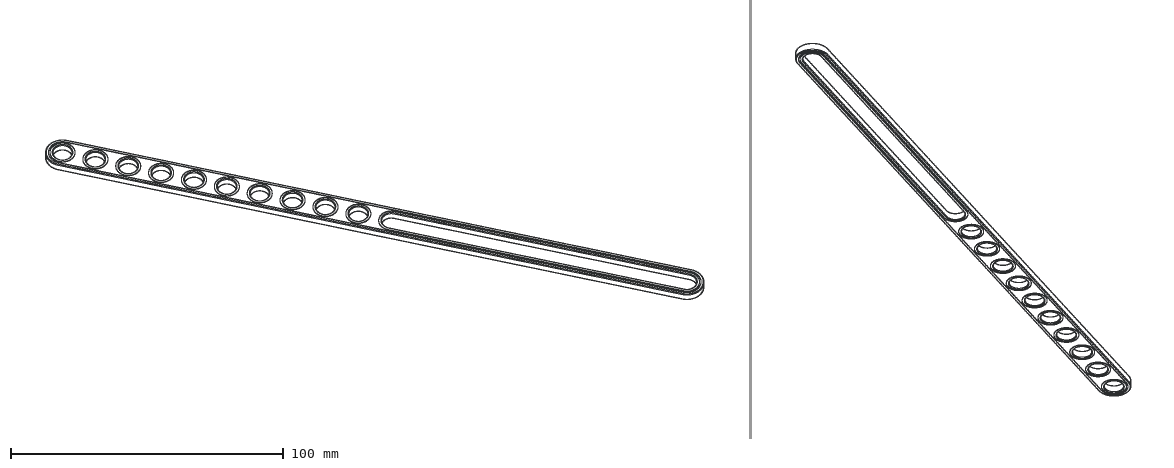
import cadquery as cq

pitch = 12.5
length_in_pitches = 20
hole_count = 10
hole_diameter = 7.0
edge_chamfer = 0.3
rim_land = 0.8
recess_depth = 0.2

width = pitch
length = length_in_pitches * pitch
thickness = pitch / 4
rim_width = edge_chamfer + rim_land
first_hole_x = width / 2
hole_centers = [(first_hole_x + index * pitch, 0) for index in range(hole_count)]
slot_start_x = first_hole_x + hole_count * pitch
slot_end_x = length - width / 2
slot_middle_x = (slot_start_x + slot_end_x) / 2
slot_travel = slot_end_x - slot_start_x


def outline(inset, z=0):
    """Round-ended outline of the bar, moved inward by the inset."""
    plane = cq.Workplane("XY", origin=(length / 2, 0, z))
    return plane.slot2D(length - 2 * inset, width - 2 * inset)


def slot(offset, z=0):
    """Outline of the long slot, widened by the offset."""
    plane = cq.Workplane("XY", origin=(slot_middle_x, 0, z))
    slot_width = hole_diameter + 2 * offset
    return plane.slot2D(slot_travel + slot_width, slot_width)


def hole(offset, z=0):
    """Circle of one hole at the origin, widened by the offset."""
    return cq.Workplane("XY", origin=(0, 0, z)).circle(hole_diameter / 2 + offset)


def mirrored_to_top(feature):
    """Copy of a feature at the lower face, mirrored to the upper face."""
    return feature.mirror("XY").translate((0, 0, thickness))


def bevelled_prism(profile):
    """Full-thickness prism of a profile, bevelled at both faces to the profile offset by the chamfer."""
    core = profile(0, edge_chamfer).extrude(thickness - 2 * edge_chamfer)
    face_wire = profile(edge_chamfer).val()
    bevel_wire = profile(0, edge_chamfer).val()
    lower_bevel = cq.Workplane(obj=cq.Solid.makeLoft([face_wire, bevel_wire], True))
    upper_bevel = mirrored_to_top(lower_bevel)
    return core.union(lower_bevel).union(upper_bevel)


def make_recess():
    """Cutter for the shallow floor between the outer rim and the rims of the holes and slot."""
    recess = outline(rim_width).extrude(recess_depth)
    recess = recess.cut(slot(rim_width).extrude(recess_depth))
    for center_x, center_y in hole_centers:
        rim = hole(rim_width).extrude(recess_depth)
        recess = recess.cut(rim.translate((center_x, center_y, 0)))
    return recess


bar = bevelled_prism(outline)

hole_cutter = bevelled_prism(hole)
for center_x, center_y in hole_centers:
    bar = bar.cut(hole_cutter.translate((center_x, center_y, 0)))
bar = bar.cut(bevelled_prism(slot))

lower_recess = make_recess()
result = bar.cut(lower_recess).cut(mirrored_to_top(lower_recess))